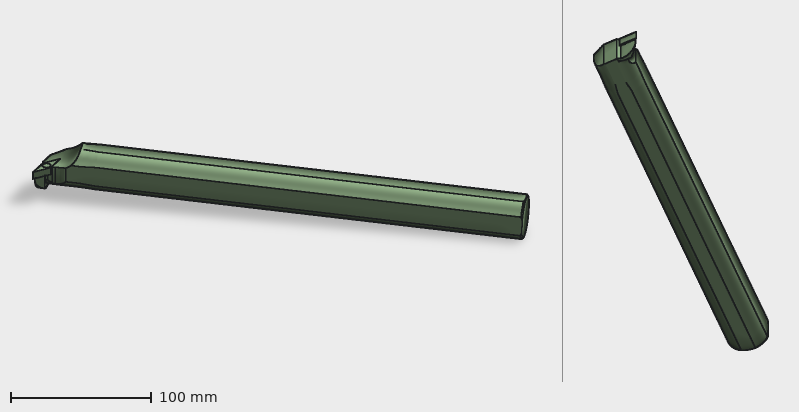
import cadquery as cq
import math


reach = 104.3

bar_diameter = 32.5
bar_end = (345.5, 67.0, -14.3)
bar_yaw = math.radians(7.5)
bar_pitch = math.radians(2.0)
bar_length = 361.5
flat_distance_vertical = 15.3
flat_distance_side = 14.3
end_chamfer = 1.0

neck_start = 307.5
neck_length = 10.5
head_diameter = 31.5
blade_height = 17.0
blade_corner = 10.5
blade_nose_y = 1.0
blade_width = 6.5
blade_root_y = 24.5
step_radius = 16.7
step_start = (12.5, 23.3)

scallop_end = (22.0, 9.7)
nose_outline = [
    scallop_end,
    (19.8, 10.8),
    (16.5, 11.8),
    (13.0, 11.8),
    (11.0, 11.0),
    (1.0, 1.0),
    (3.8, 14.0),
    (2.5, 16.5),
    (4.5, 27.5),
    (14.0, 40.0),
    (14.0, reach),
]

insert_left = (2.8, 14.3)
insert_right = (10.0, 10.0)
insert_thickness = 5.5
stud_diameter = 6.0

insert_far = (insert_left[0] + insert_right[0], insert_left[1] + insert_right[1])
insert_centre = (insert_far[0] / 2, insert_far[1] / 2)


def make_bar():
    """Round bar with three flats, built along local Z from its rear end."""
    toward_head = cq.Vector(
        -math.cos(bar_yaw) * math.cos(bar_pitch),
        -math.sin(bar_yaw) * math.cos(bar_pitch),
        math.sin(bar_pitch),
    )
    sideways = cq.Vector(-math.sin(bar_yaw), math.cos(bar_yaw), 0)
    plane = cq.Plane(origin=bar_end, xDir=sideways, normal=toward_head)
    radius = bar_diameter / 2
    head_radius = head_diameter / 2
    profile = [
        (0, 0),
        (radius - end_chamfer, 0),
        (radius, end_chamfer),
        (radius, neck_start),
        (head_radius, neck_start + neck_length),
        (head_radius, bar_length),
        (0, bar_length),
    ]
    bar = cq.Workplane("XZ").polyline(profile).close().revolve(360, (0, 0), (0, 1))
    flat_cutter = cq.Workplane("XY").box(reach, reach, bar_length, centered=(True, True, False))
    bar = bar.cut(flat_cutter.translate((-flat_distance_side - reach / 2, 0, 0)))
    for side in (-1, 1):
        bar = bar.cut(flat_cutter.translate((0, side * (flat_distance_vertical + reach / 2), 0)))
    return cq.Workplane(bar.val().moved(cq.Location(plane)))


def make_blade():
    """Blade under the insert, with a rounded lower corner, reaching beyond the bar."""
    return (
        cq.Workplane("YZ")
        .moveTo(blade_root_y, 0)
        .lineTo(blade_nose_y, 0)
        .lineTo(blade_nose_y, blade_corner - blade_height)
        .radiusArc((blade_nose_y + blade_corner, -blade_height), -blade_corner)
        .lineTo(blade_root_y, -blade_height)
        .close()
        .extrude(blade_width)
    )


def trim_head(body):
    """Cut the nose to its plan outline with vertical walls."""
    rear = bar_end[0] + reach
    plan = nose_outline + [(rear, reach), (rear, -reach), (scallop_end[0], -reach)]
    outline = cq.Workplane("XY").polyline(plan).close().extrude(reach, both=True)
    return body.intersect(outline)


def make_step_cutter():
    """Space above the head: flat floor, then a concave rise across the bar."""
    across = cq.Vector(-math.sin(bar_yaw), math.cos(bar_yaw), 0)
    plane = cq.Plane(
        origin=(step_start[0], step_start[1], 0),
        xDir=(math.cos(bar_yaw), math.sin(bar_yaw), 0),
        normal=across * -1,
    )
    quarter = step_radius * math.sqrt(0.5)
    return (
        cq.Workplane(plane)
        .moveTo(-reach, 0)
        .lineTo(0, 0)
        .threePointArc((quarter, step_radius - quarter), (step_radius, step_radius))
        .lineTo(step_radius, reach)
        .lineTo(-reach, reach)
        .close()
        .extrude(reach, both=True)
    )


def make_insert_blank():
    """Rhombic plate without its hole."""
    return (
        cq.Workplane("XY")
        .polyline([(0, 0), insert_right, insert_far, insert_left])
        .close()
        .extrude(-insert_thickness)
    )


def make_stud():
    """Round stud that fills the hole of the insert, flush with its top."""
    return cq.Workplane("XY").center(*insert_centre).circle(stud_diameter / 2).extrude(-insert_thickness)


def make_holder():
    body = trim_head(make_bar().union(make_blade()))
    body = body.cut(make_step_cutter())
    return body.cut(make_insert_blank().cut(make_stud()))


holder = make_holder()
insert = make_insert_blank().cut(make_stud())

result = cq.Compound.makeCompound([holder.val(), insert.val()])